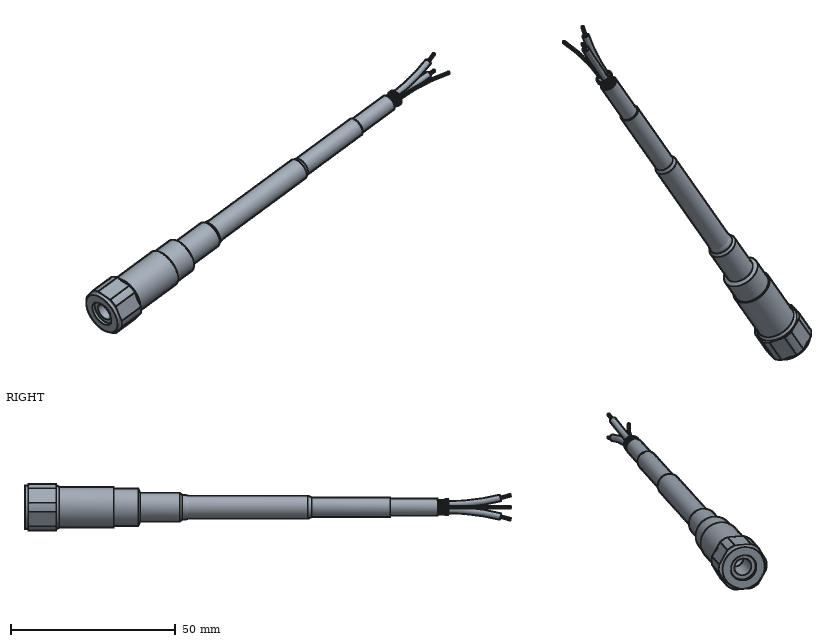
import cadquery as cq
import math


front_y = -74.0
nut_front_y = front_y + 1.0
nut_back_y = -64.6
sleeve_front_y = -63.5
sleeve_back_y = -47.0
collar_back_y = -39.5
collar_chamfer = 0.6
relief_back_y = -27.0
shoulder_front_y = -26.0
shoulder_back_y = -25.2
neck_front_y = -24.3
exit_chamfer_y = 12.1
cable_start_y = 13.3

front_rim_dia = 13.3
rim_fillet = 0.3
nut_back_rim_dia = 13.6
nut_dia = 15.1
nut_flats = 14.2
nut_sides = 6
sleeve_dia = 12.5
collar_dia = 11.5
relief_dia = 8.9
shoulder_dia = 7.5
neck_dia = 7.1

socket_dia = 8.0
socket_depth = 1.0
bore_dia = 5.3
bore_depth = 8.9
point_angle = math.radians(118)

jacket_end_y = 37.3
inner_end_y = 51.7
braid_end_y = 55.1
jacket_dia = 6.0
inner_dia = 5.3
braid_dia = 4.5
braid_groove_dia = 4.1
braid_rings = 8
braid_lip_dia = 5.0
braid_lip_rings = 3

tip_y = 74.0
strip_y = 71.1
insulation_dia = 2.0
conductor_dia = 0.9
strand_dia = 0.3
strand_count = 8
wire_count = 3
wire_circle_radius = 1.0
bend_radius = 56.3


def revolve_about_y(points):
    """Revolve a closed (radius, y) outline about the Y axis."""
    return cq.Workplane("XY").polyline(points).close().revolve(360, (0, 0, 0), (0, 1, 0))


def make_nut():
    """Grip nut: a round blank cut to a hexagon, with a stepped front rim and a bevelled back."""
    rim_radius = front_rim_dia / 2
    blank = (
        cq.Workplane("XY")
        .moveTo(0, front_y)
        .lineTo(rim_radius, front_y)
        .lineTo(rim_radius, nut_front_y - rim_fillet)
        .radiusArc((rim_radius + rim_fillet, nut_front_y), rim_fillet)
        .lineTo(nut_dia / 2, nut_front_y)
        .lineTo(nut_dia / 2, nut_back_y)
        .lineTo(nut_back_rim_dia / 2, nut_back_y)
        .lineTo(sleeve_dia / 2, sleeve_front_y)
        .lineTo(0, sleeve_front_y)
        .close()
        .revolve(360, (0, 0, 0), (0, 1, 0))
    )
    corner_dia = nut_flats / math.cos(math.pi / nut_sides)
    hexagon = (
        cq.Workplane("XZ", origin=(0, sleeve_front_y, 0))
        .polygon(nut_sides, corner_dia)
        .extrude(sleeve_front_y - front_y)
    )
    return blank.intersect(hexagon)


def make_sleeve():
    """Stepped sleeve and strain relief behind the nut."""
    return (
        cq.Workplane("XY")
        .moveTo(0, sleeve_front_y)
        .lineTo(sleeve_dia / 2, sleeve_front_y)
        .lineTo(sleeve_dia / 2, sleeve_back_y)
        .lineTo(collar_dia / 2, sleeve_back_y)
        .lineTo(collar_dia / 2, collar_back_y)
        .lineTo(relief_dia / 2, collar_back_y + collar_chamfer)
        .lineTo(relief_dia / 2, relief_back_y)
        .lineTo(shoulder_dia / 2, shoulder_front_y)
        .lineTo(shoulder_dia / 2, shoulder_back_y)
        .lineTo(neck_dia / 2, neck_front_y)
        .lineTo(neck_dia / 2, exit_chamfer_y)
        .lineTo(jacket_dia / 2, cable_start_y)
        .lineTo(0, cable_start_y)
        .close()
        .revolve(360, (0, 0, 0), (0, 1, 0))
    )


def make_socket():
    """Counterbore with a drilled bore behind it, ending in a conical point."""
    floor_y = front_y + socket_depth
    bore_end_y = floor_y + bore_depth
    return revolve_about_y([
        (0, front_y),
        (socket_dia / 2, front_y),
        (socket_dia / 2, floor_y),
        (bore_dia / 2, floor_y),
        (bore_dia / 2, bore_end_y),
        (0, bore_end_y + bore_dia / 2 / math.tan(point_angle / 2)),
    ])


def make_connector():
    return make_nut().union(make_sleeve()).cut(make_socket())


def make_sheath():
    """Jacket, inner sheath and the ringed braid at its end."""
    ring_pitch = (braid_end_y - inner_end_y) / braid_rings
    points = [
        (0, cable_start_y),
        (jacket_dia / 2, cable_start_y),
        (jacket_dia / 2, jacket_end_y),
        (inner_dia / 2, jacket_end_y),
        (inner_dia / 2, inner_end_y),
    ]
    for ring in range(braid_rings):
        ring_y = inner_end_y + ring * ring_pitch
        is_lip = ring >= braid_rings - braid_lip_rings
        ring_dia = braid_lip_dia if is_lip else braid_dia
        points.append((braid_groove_dia / 2, ring_y))
        points.append((ring_dia / 2, ring_y + ring_pitch / 2))
    points.append((braid_groove_dia / 2, braid_end_y))
    points.append((0, braid_end_y))
    return revolve_about_y(points)


def round_section(dia):
    return cq.Sketch().circle(dia / 2)


def stranded_section():
    """Round core ringed by strands that stand out of it by half their diameter."""
    core_radius = (conductor_dia - strand_dia) / 2
    return (
        cq.Sketch()
        .circle(core_radius)
        .parray(core_radius, 0, 360, strand_count)
        .circle(strand_dia / 2)
        .reset()
        .clean()
    )


def make_wire(section, dia, end_y):
    """Section bent outwards in the XY plane, from the braid until its end face touches end_y."""
    end_angle = math.asin((end_y - braid_end_y) / (bend_radius + dia / 2))

    def centre_point(angle):
        return (
            wire_circle_radius + bend_radius * (1 - math.cos(angle)),
            braid_end_y + bend_radius * math.sin(angle),
        )

    path = (
        cq.Workplane("XY")
        .moveTo(*centre_point(0))
        .threePointArc(centre_point(end_angle / 2), centre_point(end_angle))
    )
    return (
        cq.Workplane("XZ", origin=(wire_circle_radius, braid_end_y, 0))
        .placeSketch(section)
        .sweep(path)
    )


def make_cable():
    """Sheath with one bare wire and the insulated wires with their stripped ends."""
    cable = make_sheath()
    for index in range(wire_count):
        wire = make_wire(stranded_section(), conductor_dia, tip_y)
        if index > 0:
            wire = wire.union(make_wire(round_section(insulation_dia), insulation_dia, strip_y))
        cable = cable.union(wire.rotate((0, 0, 0), (0, 1, 0), index * 360 / wire_count))
    return cable


connector = make_connector()
cable = make_cable()

result = cq.Compound.makeCompound([connector.val(), cable.val()])